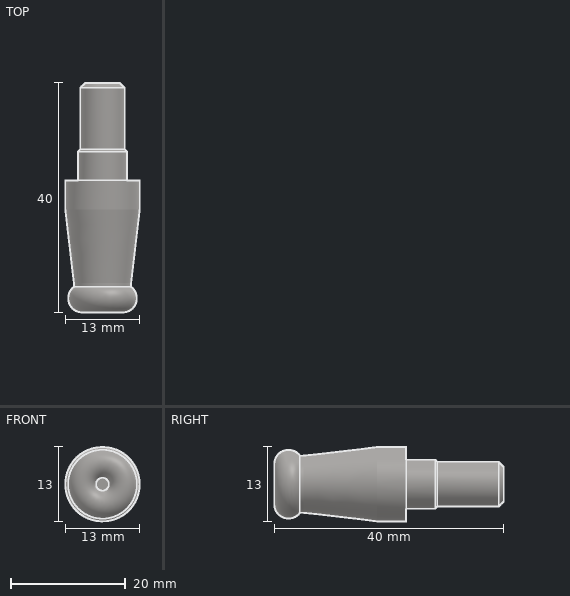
import cadquery as cq
import math

total_length = 40.0
flange_rear = 23.0
flange_front = 17.9
neck_rear = 5.1
collar_length = 5.05
step_chamfer_length = 0.35
tip_chamfer_length = 0.9

flange_radius = 13.0 / 2
neck_radius = 5.0
collar_radius = 4.3
shank_radius = 3.9
tip_radius = 3.0
dimple_floor_radius = 1.1

bead_outer_radius = 6.0
bead_section_radius = 5.0 / 2
bead_center_radius = bead_outer_radius - bead_section_radius


def bead_half_width(radius):
    """Distance along Y from the bead's middle plane to its surface."""
    return math.sqrt(bead_section_radius**2 - (radius - bead_center_radius)**2)


bead_middle = bead_section_radius
dimple_floor = bead_middle - bead_half_width(dimple_floor_radius)
neck_front = bead_middle + bead_half_width(neck_radius)
collar_rear = flange_rear + collar_length
shank_front = collar_rear + step_chamfer_length
shank_rear = total_length - tip_chamfer_length

half_section = (
    cq.Workplane("XY")
    .moveTo(0, dimple_floor)
    .lineTo(dimple_floor_radius, dimple_floor)
    .threePointArc((bead_outer_radius, bead_middle), (neck_radius, neck_front))
    .lineTo(neck_radius, neck_rear)
    .lineTo(flange_radius, flange_front)
    .lineTo(flange_radius, flange_rear)
    .lineTo(collar_radius, flange_rear)
    .lineTo(collar_radius, collar_rear)
    .lineTo(shank_radius, shank_front)
    .lineTo(shank_radius, shank_rear)
    .lineTo(tip_radius, total_length)
    .lineTo(0, total_length)
    .close()
)

result = half_section.revolve(360, (0, 0, 0), (0, 1, 0))